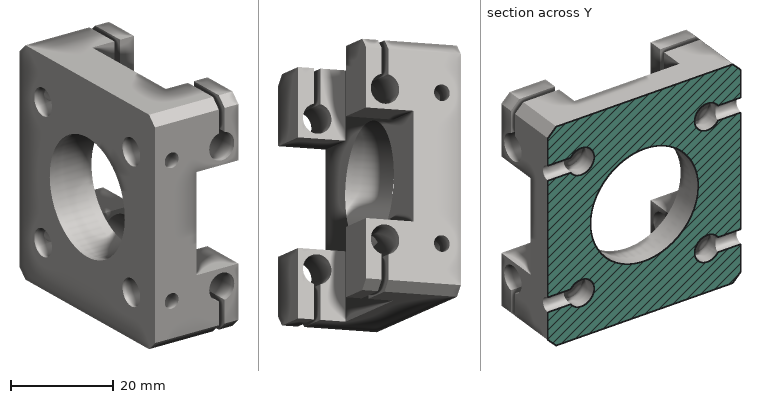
import cadquery as cq

width = 46.0
depth = 20.0
height = 50.0
corner_chamfer = 2.0

plate_thickness = 10.0
channel_width = 25.0
channel_height = 22.0

center_bore_diameter = 25.5
hole_spacing = 30.0
pin_hole_diameter = 6.0
pin_hole_depth = 8.0

screw_hole_diameter = 3.3
screw_hole_y = 4.0

rod_diameter = 6.0
rod_y = 16.0
slit_width = 1.4

hole_offset = hole_spacing / 2


def make_block():
    block = cq.Workplane("XY").box(width, depth, height, centered=(True, False, True))
    return block.edges("|Y").chamfer(corner_chamfer)


def cut_channels(body):
    channel_depth = depth - plate_thickness
    for size_x, size_z in ((channel_width, height), (width, channel_height)):
        channel = (
            cq.Workplane("XY")
            .box(size_x, channel_depth, size_z, centered=(True, False, True))
            .translate((0, plate_thickness, 0))
        )
        body = body.cut(channel)
    return body


def cylinder(diameter, length, start, direction):
    return cq.Solid.makeCylinder(diameter / 2, length, cq.Vector(*start), cq.Vector(*direction))


def cut_rod_clamps(body):
    slit_length = height / 2 - hole_offset
    for side in (-1, 1):
        rod_z = side * hole_offset
        rod_hole = cylinder(rod_diameter, width, (-width / 2, rod_y, rod_z), (1, 0, 0))
        slit = (
            cq.Workplane("XY")
            .box(width, slit_width, slit_length)
            .translate((0, rod_y, rod_z + side * slit_length / 2))
        )
        body = body.cut(cq.Workplane(rod_hole)).cut(slit)
    return body


def cut_pin_and_screw_holes(body):
    screw_hole_length = width / 2 - hole_offset
    for side_x in (-1, 1):
        for side_z in (-1, 1):
            z = side_z * hole_offset
            pin_hole = cylinder(pin_hole_diameter, pin_hole_depth, (side_x * hole_offset, 0, z), (0, 1, 0))
            screw_hole = cylinder(
                screw_hole_diameter,
                screw_hole_length,
                (side_x * width / 2, screw_hole_y, z),
                (-side_x, 0, 0),
            )
            body = body.cut(cq.Workplane(pin_hole)).cut(cq.Workplane(screw_hole))
    return body


center_bore = cylinder(center_bore_diameter, depth, (0, 0, 0), (0, 1, 0))

result = cut_channels(make_block())
result = result.cut(cq.Workplane(center_bore))
result = cut_rod_clamps(result)
result = cut_pin_and_screw_holes(result)